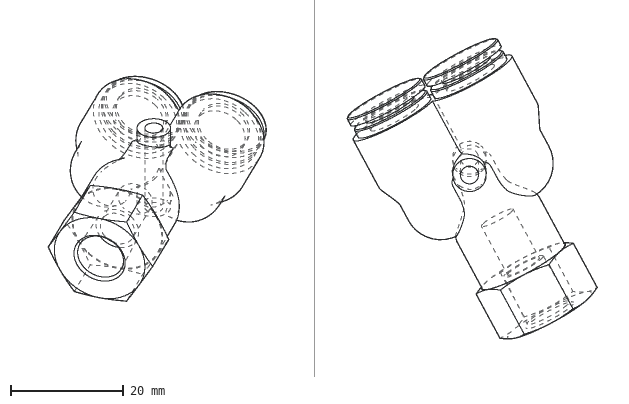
import cadquery as cq
import math


nut_width = 17.0
nut_length = 10.0
nut_corner_angle = 20.0
bore_mouth_diameter = 9.6
bore_start_diameter = 8.6
bore_taper = 1 / 16
bore_chamfer = 0.55
stem_hole_diameter = 6.4
stem_hole_depth = 9.95

barrel_diameter = 16.7
neck_diameter = 13.02
arm_offset = 7.7
shoulder_length = 4.05
shoulder_blend = 1.95
stem_shoulder = 19.97
stem_neck_end = 31.0
stem_end_rounding = 1.5
arm_neck_end = 27.0
arm_shoulder = 30.5
barrel_end = 44.55

boss_diameter = 6.0
boss_hole_diameter = 3.2

collar_diameter = 14.7
collar_end = 46.2
sleeve_neck_diameter = 9.6
flange_start = 47.05
total_length = 48.6
flange_width = 15.0
flange_height = 12.95
rim_chamfer = 0.25

arm_positions = (-arm_offset, arm_offset)


def cylinder(diameter, start, end, x=0.0):
    """Cylinder along Y between two Y positions."""
    disc = cq.Workplane("XZ", origin=(x, start, 0)).circle(diameter / 2)
    return disc.extrude(start - end)


def turned(profile):
    """Solid of revolution about Y from a closed profile of radius and Y."""
    return profile.revolve(360, (0, 0, 0), (0, 1, 0))


def barrel_with_neck(barrel_start, shoulder, neck_end, direction):
    """Barrel, blended shoulder and neck, going in +Y (1) or -Y (-1)."""
    barrel_radius = barrel_diameter / 2
    neck_radius = neck_diameter / 2
    slope = math.atan((barrel_radius - neck_radius) / shoulder_length)
    tangent = shoulder_blend * math.tan(slope / 2)
    middle_bulge = shoulder_blend * (1 - math.cos(slope / 2))
    middle_run = shoulder_blend * math.sin(slope / 2)
    slant_run = tangent * math.cos(slope)
    slant_rise = tangent * math.sin(slope)
    neck_corner = shoulder + direction * shoulder_length
    barrel_tangent = shoulder - direction * tangent
    neck_tangent = neck_corner + direction * tangent
    profile = (
        cq.Workplane("XY")
        .moveTo(0, barrel_start)
        .lineTo(barrel_radius, barrel_start)
        .lineTo(barrel_radius, barrel_tangent)
        .threePointArc(
            (barrel_radius - middle_bulge, barrel_tangent + direction * middle_run),
            (barrel_radius - slant_rise, shoulder + direction * slant_run),
        )
        .lineTo(neck_radius + slant_rise, neck_corner - direction * slant_run)
        .threePointArc(
            (neck_radius + middle_bulge, neck_tangent - direction * middle_run),
            (neck_radius, neck_tangent),
        )
        .lineTo(neck_radius, neck_end)
        .lineTo(0, neck_end)
        .close()
    )
    return turned(profile)


def make_dome():
    """Hemisphere that closes an arm neck, bulging toward -Y."""
    radius = neck_diameter / 2
    middle = radius * math.sqrt(0.5)
    profile = (
        cq.Workplane("XY")
        .moveTo(0, arm_neck_end)
        .lineTo(radius, arm_neck_end)
        .threePointArc((middle, arm_neck_end - middle), (0, arm_neck_end - radius))
        .close()
    )
    return turned(profile)


def make_housing():
    """Rounded stem and two domed arms merged, with a drilled cross boss and a blind hole in the stem."""
    housing = barrel_with_neck(nut_length, stem_shoulder, stem_neck_end, 1)
    housing = housing.faces(">Y").edges().fillet(stem_end_rounding)
    arm = barrel_with_neck(barrel_end, arm_shoulder + shoulder_length, arm_neck_end, -1)
    arm = arm.union(make_dome())
    for x in arm_positions:
        housing = housing.union(arm.translate((x, 0, 0)))
    boss_base = cq.Workplane("XY", origin=(0, arm_shoulder, -nut_width / 2))
    housing = housing.union(boss_base.circle(boss_diameter / 2).extrude(nut_width))
    housing = housing.cut(boss_base.circle(boss_hole_diameter / 2).extrude(nut_width))
    return housing.cut(cylinder(stem_hole_diameter, nut_length, nut_length + stem_hole_depth))


def make_nut():
    """Hexagon nut with trimmed corners and a tapered through bore."""
    corner_radius = nut_width / math.sqrt(3)
    face_radius = nut_width / 2
    trim = (corner_radius - face_radius) * math.tan(math.radians(nut_corner_angle))
    hexagon = cq.Workplane("XZ").polygon(6, 2 * corner_radius).extrude(-nut_length)
    envelope = turned(
        cq.Workplane("XY").polyline(
            [
                (0, 0),
                (face_radius, 0),
                (corner_radius, trim),
                (corner_radius, nut_length - trim),
                (face_radius, nut_length),
                (0, nut_length),
            ]
        ).close()
    )
    bore_end_diameter = bore_start_diameter - bore_taper * (nut_length - bore_chamfer)
    bore = turned(
        cq.Workplane("XY").polyline(
            [
                (0, 0),
                (bore_mouth_diameter / 2, 0),
                (bore_start_diameter / 2, bore_chamfer),
                (bore_end_diameter / 2, nut_length),
                (0, nut_length),
            ]
        ).close()
    )
    return hexagon.intersect(envelope).cut(bore)


def make_collar(x):
    """Ring on the end of an arm, around the sleeve neck."""
    ring = cylinder(collar_diameter, barrel_end, collar_end, x).faces(">Y").edges().chamfer(rim_chamfer)
    return ring.cut(cylinder(sleeve_neck_diameter, barrel_end, collar_end, x))


def make_sleeve(x):
    """Release sleeve: a round neck inside the collar and an oval flange."""
    oval = cq.Workplane("XZ", origin=(x, flange_start, 0)).ellipse(flange_width / 2, flange_height / 2)
    flange = oval.extrude(flange_start - total_length).faces(">Y").edges().chamfer(rim_chamfer)
    return flange.union(cylinder(sleeve_neck_diameter, barrel_end, flange_start, x))


housing = make_housing()
nut = make_nut()
collars = [make_collar(x) for x in arm_positions]
sleeves = [make_sleeve(x) for x in arm_positions]

bodies = [housing, nut, *collars, *sleeves]
result = cq.Compound.makeCompound([body.val() for body in bodies])